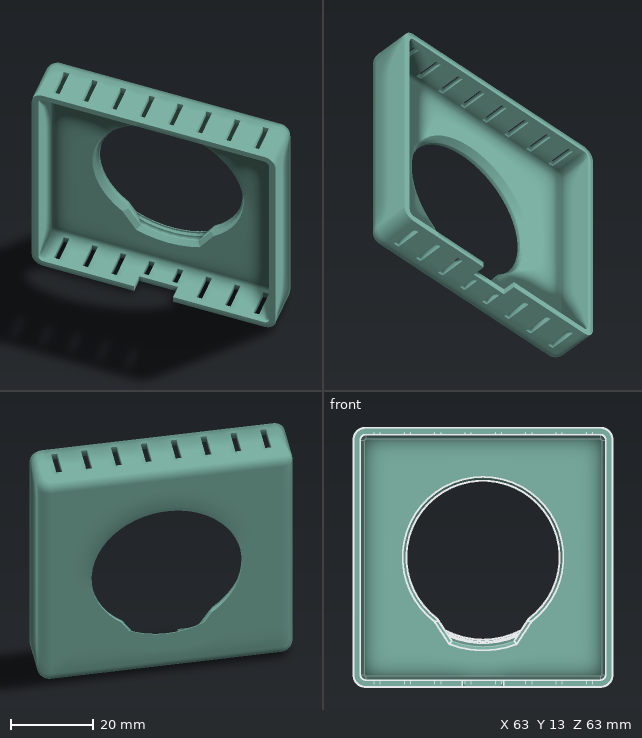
import cadquery as cq
import math

side = 63.0
depth = 13.0
outer_radius = 3.0
wall = 1.7
cavity_corner_radius = outer_radius - wall
wall_center = side / 2 - wall / 2
floor_thickness = 2.85
floor_fillet = 1.0
floor_y = depth - floor_thickness

mouth_radius = 19.5
mouth_inset = 0.95
mouth_depth = 1.9
throat_radius = mouth_radius - mouth_inset

recess_radius = 22.6
recess_corner_half_width = 8.2
recess_side_angle = 33.2
recess_top_z = -9.45
recess_mouth_depth = 1.3

recess_fillet_depth = 0.75
step_radius = 20.85
cone_end_radius = 20.5
lip_radius = 20.0
lip_thickness = 0.2

slot_count = 8
slot_pitch = 7.4
slot_width = 1.5
slot_length = 7.0
short_slot_length = 4.35
slot_back_y = depth - 4.05

notch_width = 10.1
notch_depth = 3.45


def plane_at(y):
    """Plane facing +Y at the given y; local x is -X, local y is +Z."""
    return cq.Workplane(cq.Plane((0, y, 0), xDir=(-1, 0, 0), normal=(0, 1, 0)))


def make_shell():
    body = plane_at(0).rect(side, side).extrude(depth)
    body = body.edges("|Y").fillet(outer_radius)
    body = body.faces(">Y").edges().fillet(outer_radius)
    cavity_side = side - 2 * wall
    cavity = plane_at(0).rect(cavity_side, cavity_side).extrude(floor_y)
    cavity = cavity.edges("|Y").fillet(cavity_corner_radius)
    cavity = cavity.faces(">Y").edges().fillet(floor_fillet)
    return body.cut(cavity)


def recess_outline(y, inset):
    """Sector-like outline whose sides and bottom arc are moved inward by inset."""
    radius = recess_radius - inset
    slope = math.tan(math.radians(recess_side_angle))
    outer_corner_z = -math.sqrt(recess_radius**2 - recess_corner_half_width**2)
    axis_x = recess_corner_half_width - slope * outer_corner_z
    axis_x -= inset / math.cos(math.radians(recess_side_angle))
    square_term = 1 + slope**2
    half_linear_term = axis_x * slope
    discriminant = half_linear_term**2 - square_term * (axis_x**2 - radius**2)
    corner_z = (-half_linear_term - math.sqrt(discriminant)) / square_term
    corner_x = axis_x + slope * corner_z
    top_x = axis_x + slope * recess_top_z
    return (
        plane_at(y)
        .moveTo(-top_x, recess_top_z)
        .lineTo(-corner_x, corner_z)
        .threePointArc((0, -radius), (corner_x, corner_z))
        .lineTo(top_x, recess_top_z)
        .close()
    )


def taper_angle(inset, length):
    return math.degrees(math.atan2(inset, length))


def make_recess_core(start_y):
    """Revolved body that gives the bottom of the recess its steps."""
    start_radius = recess_radius - mouth_inset
    step_y = start_y + recess_fillet_depth
    lip_y = depth - lip_thickness
    diagonal = math.sqrt(0.5)
    fillet_middle = (
        step_radius + (start_radius - step_radius) * diagonal,
        start_y + recess_fillet_depth * diagonal,
    )
    return (
        cq.Workplane("XY")
        .moveTo(0, start_y)
        .lineTo(start_radius, start_y)
        .threePointArc(fillet_middle, (step_radius, step_y))
        .lineTo(cone_end_radius, lip_y)
        .lineTo(lip_radius, lip_y)
        .lineTo(lip_radius, depth)
        .lineTo(0, depth)
        .close()
        .revolve(360, (0, 0, 0), (0, 1, 0))
    )


def make_opening():
    mouth_taper = taper_angle(mouth_inset, mouth_depth)
    mouth = plane_at(floor_y).circle(mouth_radius).extrude(mouth_depth, taper=mouth_taper)
    throat = plane_at(floor_y).circle(throat_radius).extrude(floor_thickness)

    recess_taper = taper_angle(mouth_inset, recess_mouth_depth)
    recess_mouth = recess_outline(floor_y, 0).extrude(recess_mouth_depth, taper=recess_taper)
    recess_end_y = floor_y + recess_mouth_depth
    recess_sides = recess_outline(recess_end_y, mouth_inset).extrude(depth - recess_end_y)
    recess = recess_mouth.union(recess_sides.intersect(make_recess_core(recess_end_y)))
    return mouth.union(throat).union(recess)


def make_slot(index, length, z):
    x = (index - (slot_count - 1) / 2) * slot_pitch
    y = slot_back_y - length / 2
    return cq.Workplane("XY").box(slot_width, length, 2 * wall).translate((x, y, z))


def cut_slots(body):
    middle = (slot_count // 2 - 1, slot_count // 2)
    for index in range(slot_count):
        bottom_length = short_slot_length if index in middle else slot_length
        body = body.cut(make_slot(index, slot_length, wall_center))
        body = body.cut(make_slot(index, bottom_length, -wall_center))
    return body


def make_rim_notch():
    notch = cq.Workplane("XY").box(notch_width, 2 * notch_depth, 2 * wall)
    return notch.translate((0, 0, -wall_center))


cover = make_shell().cut(make_opening())
cover = cut_slots(cover)
result = cover.cut(make_rim_notch())